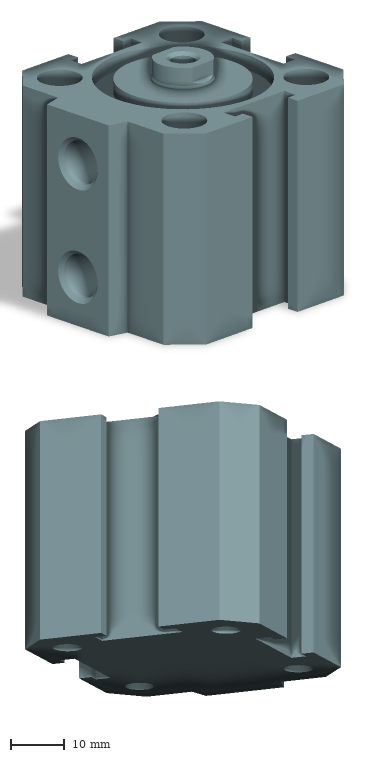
import cadquery as cq
import math

BLOCK_WIDTH = 48.0
BLOCK_HEIGHT = 42.0
CORNER_CHAMFER = 5.6

OVERALL_DEPTH = 52
BOSS_PROJECTION = OVERALL_DEPTH - BLOCK_WIDTH
BOSS_FRONT_WIDTH = 16.0
BOSS_SIDE_ANGLE = 15

SIDE_SLOT_OPENING = 12.0
SIDE_SLOT_INNER_WIDTH = 16.15
SIDE_SLOT_DEPTH = 5.45
BACK_SLOT_OPENING = 11.7
BACK_SLOT_INNER_WIDTH = 16.45
BACK_SLOT_DEPTH = 5.6
SLOT_LIP = 2.5

BOLT_SPACING = 32.5
BOLT_HOLE_DIAMETER = 5.45
COUNTERBORE_DIAMETER = 8.6
COUNTERBORE_DEPTH = 5.65

RECESS_DIAMETER = 34.0
RECESS_DEPTH = 3.0
COLLAR_DIAMETER = 26
COLLAR_DROP = 0.2

PORT_DIAMETER = 8.65
PORT_CHAMFER = 0.85
PORT_DEPTH = 11.95
PORT_END_DISTANCE = 9.7

ROD_DIAMETER = 12.0
ROD_PROTRUSION = 4.0
ROD_EMBEDMENT = 20.0
TIP_DIAMETER = 11.55
TIP_LENGTH = 3.55
FLAT_WIDTH = 10.05
FLAT_LENGTH = 2.95
FLAT_TURN = 1.7
SCREW_HOLE_DIAMETER = 4.8
SCREW_HOLE_DEPTH = 10.0
SCREW_MOUTH_DIAMETER = 6.55
SCREW_MOUTH_DEPTH = 0.55
DRILL_POINT_ANGLE = 118

HALF_WIDTH = BLOCK_WIDTH / 2
COLLAR_TOP = BLOCK_HEIGHT - COLLAR_DROP
ROD_TOP = BLOCK_HEIGHT + ROD_PROTRUSION
ROD_BOTTOM = BLOCK_HEIGHT - ROD_EMBEDMENT


def block_with_boss():
    block = (
        cq.Workplane("XY")
        .rect(BLOCK_WIDTH, BLOCK_WIDTH)
        .extrude(BLOCK_HEIGHT)
        .edges("|Z")
        .chamfer(CORNER_CHAMFER)
    )
    half_front = BOSS_FRONT_WIDTH / 2
    half_base = half_front + BOSS_PROJECTION * math.tan(math.radians(BOSS_SIDE_ANGLE))
    front_y = -HALF_WIDTH - BOSS_PROJECTION
    boss = (
        cq.Workplane("XY")
        .moveTo(-half_base, -HALF_WIDTH)
        .lineTo(-half_front, front_y)
        .lineTo(half_front, front_y)
        .lineTo(half_base, -HALF_WIDTH)
        .close()
        .extrude(BLOCK_HEIGHT)
    )
    return block.union(boss)


def t_slot(opening, inner_width, depth, turn):
    """T-slot along Z, modelled on the +Y side and turned about Z to its own side."""
    inner_depth = depth - SLOT_LIP
    mouth = cq.Workplane("XY").center(0, HALF_WIDTH - depth / 2).rect(opening, depth).extrude(BLOCK_HEIGHT)
    inner = (
        cq.Workplane("XY")
        .center(0, HALF_WIDTH - depth + inner_depth / 2)
        .rect(inner_width, inner_depth)
        .extrude(BLOCK_HEIGHT)
    )
    return mouth.union(inner).rotate((0, 0, 0), (0, 0, 1), turn)


def collar_recess():
    """Ring-shaped recess that leaves a collar standing just below the top of the block."""
    ring = (
        cq.Workplane("XY", origin=(0, 0, BLOCK_HEIGHT - RECESS_DEPTH))
        .circle(RECESS_DIAMETER / 2)
        .circle(COLLAR_DIAMETER / 2)
        .extrude(RECESS_DEPTH)
    )
    above_collar = (
        cq.Workplane("XY", origin=(0, 0, COLLAR_TOP))
        .circle(COLLAR_DIAMETER / 2)
        .extrude(COLLAR_DROP)
    )
    return ring.union(above_collar)


def air_port(height):
    """Flat-bottomed port entering the boss along +Y, with a 45-degree mouth chamfer."""
    radius = PORT_DIAMETER / 2
    profile = (
        cq.Workplane("XY")
        .moveTo(0, 0)
        .lineTo(radius + PORT_CHAMFER, 0)
        .lineTo(radius, PORT_CHAMFER)
        .lineTo(radius, PORT_DEPTH)
        .lineTo(0, PORT_DEPTH)
        .close()
    )
    port = profile.revolve(360, (0, 0, 0), (0, 1, 0))
    return port.translate((0, -HALF_WIDTH - BOSS_PROJECTION, height))


def make_housing():
    housing = block_with_boss()
    housing = housing.cut(t_slot(BACK_SLOT_OPENING, BACK_SLOT_INNER_WIDTH, BACK_SLOT_DEPTH, 0))
    for turn in (90, -90):
        housing = housing.cut(t_slot(SIDE_SLOT_OPENING, SIDE_SLOT_INNER_WIDTH, SIDE_SLOT_DEPTH, turn))
    housing = (
        housing.faces(">Z")
        .workplane(origin=(0, 0, BLOCK_HEIGHT))
        .rect(BOLT_SPACING, BOLT_SPACING, forConstruction=True)
        .vertices()
        .cboreHole(BOLT_HOLE_DIAMETER, COUNTERBORE_DIAMETER, COUNTERBORE_DEPTH)
    )
    for height in (PORT_END_DISTANCE, BLOCK_HEIGHT - PORT_END_DISTANCE):
        housing = housing.cut(air_port(height))
    rod_bore = (
        cq.Workplane("XY", origin=(0, 0, ROD_BOTTOM)).circle(ROD_DIAMETER / 2).extrude(ROD_EMBEDMENT)
    )
    return housing.cut(collar_recess()).cut(rod_bore)


def rod_blank():
    """Rod shaft that narrows, from the top of the block upward, through a short cone to a slimmer tip."""
    return (
        cq.Workplane("XZ")
        .moveTo(0, ROD_BOTTOM)
        .lineTo(ROD_DIAMETER / 2, ROD_BOTTOM)
        .lineTo(ROD_DIAMETER / 2, BLOCK_HEIGHT)
        .lineTo(TIP_DIAMETER / 2, ROD_TOP - TIP_LENGTH)
        .lineTo(TIP_DIAMETER / 2, ROD_TOP)
        .lineTo(0, ROD_TOP)
        .close()
        .revolve(360, (0, 0, 0), (0, 1, 0))
    )


def wrench_flat(turn):
    """Cutter for one flat; its floor slopes down to the lower edge of the tip."""
    flat_x = FLAT_WIDTH / 2
    floor_slope = (TIP_LENGTH - FLAT_LENGTH) / (TIP_DIAMETER / 2 - flat_x)
    outer_x = ROD_DIAMETER / 2
    floor_z = ROD_TOP - FLAT_LENGTH
    return (
        cq.Workplane("XZ")
        .moveTo(flat_x, ROD_TOP)
        .lineTo(flat_x, floor_z)
        .lineTo(outer_x, floor_z - floor_slope * (outer_x - flat_x))
        .lineTo(outer_x, ROD_TOP)
        .close()
        .extrude(ROD_DIAMETER / 2, both=True)
        .rotate((0, 0, 0), (0, 0, 1), turn)
    )


def screw_hole():
    """Blind hole down the rod axis with a countersunk mouth and a drill point."""
    radius = SCREW_HOLE_DIAMETER / 2
    wall_bottom = ROD_TOP - SCREW_HOLE_DEPTH
    point_depth = radius / math.tan(math.radians(DRILL_POINT_ANGLE / 2))
    return (
        cq.Workplane("XZ")
        .moveTo(0, ROD_TOP)
        .lineTo(SCREW_MOUTH_DIAMETER / 2, ROD_TOP)
        .lineTo(radius, ROD_TOP - SCREW_MOUTH_DEPTH)
        .lineTo(radius, wall_bottom)
        .lineTo(0, wall_bottom - point_depth)
        .close()
        .revolve(360, (0, 0, 0), (0, 1, 0))
    )


def make_rod():
    rod = rod_blank()
    for turn in (FLAT_TURN, FLAT_TURN + 180):
        rod = rod.cut(wrench_flat(turn))
    return rod.cut(screw_hole())


housing = make_housing()
rod = make_rod()

result = cq.Compound.makeCompound([housing.val(), rod.val()])